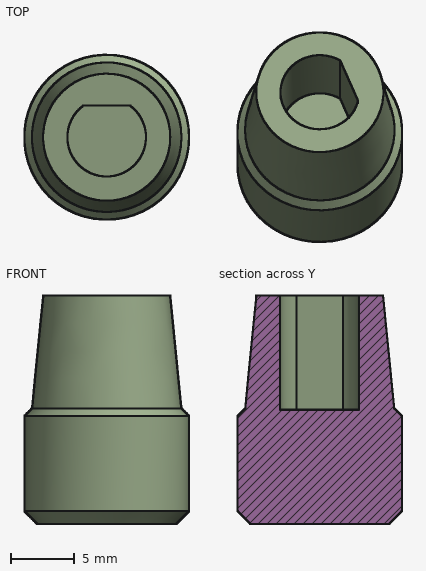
import cadquery as cq

height = 18.0
body_diameter = 13.0

bottom_chamfer = 1.0
body_top = 8.5
shoulder_width = 0.61
top_diameter = 10.0

bore_diameter = 6.2
flat_offset = 2.5
bore_depth = 9.0

body_radius = body_diameter / 2
neck_radius = body_radius - shoulder_width
shoulder_top = body_top + shoulder_width


def make_outside():
    """Turned outside: chamfered cylinder, 45 degree shoulder and tapered neck."""
    profile = (
        cq.Workplane("XZ")
        .moveTo(0, 0)
        .lineTo(body_radius - bottom_chamfer, 0)
        .lineTo(body_radius, bottom_chamfer)
        .lineTo(body_radius, body_top)
        .lineTo(neck_radius, shoulder_top)
        .lineTo(top_diameter / 2, height)
        .lineTo(0, height)
        .close()
    )
    return profile.revolve(360, (0, 0), (0, 1))


def make_bore():
    """Round bore with its +Y side cut off by a flat."""
    bore_radius = bore_diameter / 2
    bore_floor = height - bore_depth
    cylinder = cq.Workplane("XY").workplane(offset=bore_floor).circle(bore_radius).extrude(bore_depth)
    beyond_flat = (
        cq.Workplane("XY")
        .workplane(offset=bore_floor)
        .center(0, flat_offset + bore_radius / 2)
        .rect(bore_diameter, bore_radius)
        .extrude(bore_depth)
    )
    return cylinder.cut(beyond_flat)


result = make_outside().cut(make_bore())